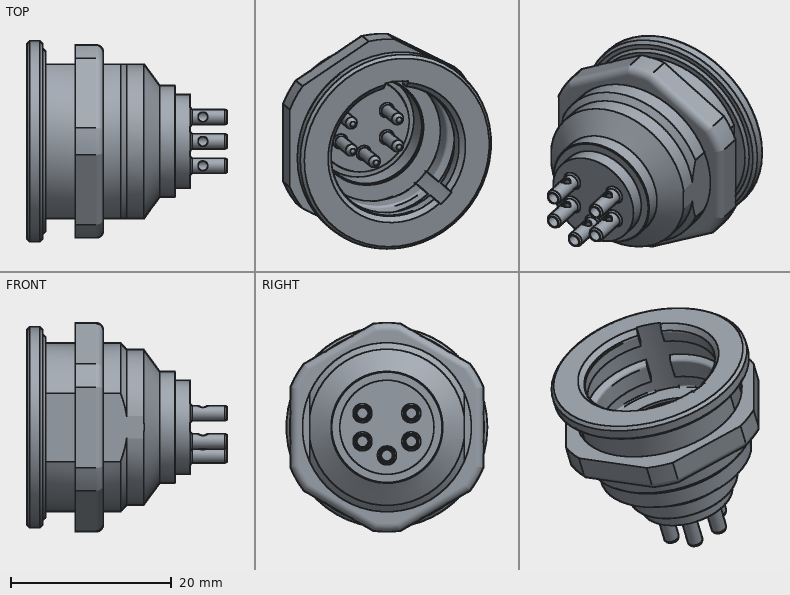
import cadquery as cq
import math


flange_dia = 25.0
flange_back = 2.0
flange_chamfer = 0.4
seal_dia = 23.1
seal_back = 2.37
seal_chamfer = 0.37

thread_dia = 21.0
thread_end = 11.65
shoulder_dia = 19.4
shoulder_start = 12.4
shoulder_end = 14.5
collar_dia = 13.9
collar_start = 16.5
collar_end = 18.45
collar_chamfer = 0.1
insert_dia = 11.7
insert_end = 20.3
across_body_flats = 19.2

nut_start = 6.0
nut_end = 9.53
nut_across_flats = 24.0
nut_corner_dia = 26.0
nut_fillet = 1.0

mouth_dia = 18.0
lip_edge_dia = 16.75
lip_dia = 16.6
lip_edge_depth = 0.66
lip_start = 0.9
lip_end = 2.25
groove_dia = 18.4
groove_end = 5.0
guide_cone_angle = 70.0
guide_round = 0.4
guide_end = 7.8
socket_depth = 10.0
socket_fillet = 0.2

recess_dia = 13.7
recess_step_depth = 10.4
recess_inner_dia = 13.45
recess_floor = 13.5
insert_face_dia = 11.9
insert_face = 13.0

main_key_width = 3.0
main_key_angle = 90.0
side_key_width = 2.0
side_key_angle = 225.0

contact_circle_radius = 3.5
contact_angles = (30, 150, 210, 270, 330)
pin_dia = 1.49
pin_base_dia = 1.9
pin_tip = 8.0
pin_nose_dia = 0.7
pin_taper_length = 0.6
pin_nose_height = 0.15
cup_dia = 1.9
cup_end = 24.9
cup_end_taper_length = 0.3
cup_end_taper_height = 0.15
cup_flare = 0.23
cup_bore_dia = 1.4
cup_bore_start = 21.0
vent_dia = 1.2
vent_x = 21.87


def revolve_about_x(profile):
    """Revolve a closed profile drawn in (X, radius) about the X axis."""
    return profile.close().revolve(360, (0, 0, 0), (1, 0, 0))


def cylinder_along_x(diameter, start, end):
    return cq.Workplane("YZ", origin=(start, 0, 0)).circle(diameter / 2).extrude(end - start)


def make_shell():
    flange_r = flange_dia / 2
    seal_r = seal_dia / 2
    collar_r = collar_dia / 2
    shell = revolve_about_x(
        cq.Workplane("XY")
        .moveTo(seal_back, 0)
        .lineTo(collar_end, 0)
        .lineTo(collar_end, collar_r - collar_chamfer)
        .lineTo(collar_end - collar_chamfer, collar_r)
        .lineTo(collar_start, collar_r)
        .lineTo(shoulder_end, shoulder_dia / 2)
        .lineTo(shoulder_start, shoulder_dia / 2)
        .lineTo(thread_end, thread_dia / 2)
        .lineTo(seal_back, thread_dia / 2)
    )
    flats = cq.Workplane("XY").box(2 * insert_end, across_body_flats, thread_dia)
    flange = revolve_about_x(
        cq.Workplane("XY")
        .lineTo(0, flange_r - flange_chamfer)
        .lineTo(flange_chamfer, flange_r)
        .lineTo(flange_back - flange_chamfer, flange_r)
        .lineTo(flange_back, flange_r - flange_chamfer)
        .lineTo(flange_back, seal_r)
        .lineTo(seal_back, seal_r - seal_chamfer)
        .lineTo(seal_back, 0)
    )
    insert = cylinder_along_x(insert_dia, collar_start, insert_end)
    return shell.intersect(flats).union(flange).union(insert)


def make_nut():
    corner_to_corner = nut_across_flats / math.cos(math.radians(30))
    hexagon = (
        cq.Workplane("YZ", origin=(nut_start, 0, 0))
        .transformed(rotate=(0, 0, 30))
        .polygon(6, corner_to_corner)
        .extrude(nut_end - nut_start)
    )
    turned = cylinder_along_x(nut_corner_dia, nut_start, nut_end)
    nut = hexagon.intersect(turned).faces(">X").edges().fillet(nut_fillet)
    return nut.cut(cylinder_along_x(thread_dia, nut_start, nut_end))


def make_socket():
    guide_r = lip_dia / 2
    groove_r = groove_dia / 2
    cone_angle = math.radians(guide_cone_angle)
    guide_corner_x = groove_end + (groove_r - guide_r) / math.tan(cone_angle)
    guide_tangent = guide_round * math.tan(cone_angle / 2)
    round_start = (
        guide_corner_x - guide_tangent * math.cos(cone_angle),
        guide_r + guide_tangent * math.sin(cone_angle),
    )
    round_end = (guide_corner_x + guide_tangent, guide_r)
    corner_offset = socket_fillet * (1 - math.sqrt(0.5))
    return revolve_about_x(
        cq.Workplane("XY")
        .lineTo(0, mouth_dia / 2)
        .lineTo(lip_edge_depth, lip_edge_dia / 2)
        .lineTo(lip_start, guide_r)
        .lineTo(lip_end, guide_r)
        .lineTo(lip_end, groove_r)
        .lineTo(groove_end, groove_r)
        .lineTo(*round_start)
        .radiusArc(round_end, -guide_round)
        .lineTo(guide_end, guide_r)
        .lineTo(guide_end, groove_r)
        .lineTo(socket_depth - socket_fillet, groove_r)
        .threePointArc(
            (socket_depth - corner_offset, groove_r - corner_offset),
            (socket_depth, groove_r - socket_fillet),
        )
        .lineTo(socket_depth, recess_dia / 2)
        .lineTo(recess_step_depth, recess_dia / 2)
        .lineTo(recess_step_depth, recess_inner_dia / 2)
        .lineTo(recess_floor, recess_inner_dia / 2)
        .lineTo(recess_floor, insert_face_dia / 2)
        .lineTo(insert_face, insert_face_dia / 2)
        .lineTo(insert_face, 0)
    )


def make_keyway(width, angle):
    slot = (
        cq.Workplane("XY")
        .box(socket_depth, groove_dia, width, centered=(False, False, True))
        .rotate((0, 0, 0), (1, 0, 0), angle)
    )
    return slot.intersect(cylinder_along_x(groove_dia, 0, socket_depth))


def make_contact():
    pin_r = pin_dia / 2
    nose_r = pin_nose_dia / 2
    cup_r = cup_dia / 2
    base_flare = (pin_base_dia - pin_dia) / 2
    contact = revolve_about_x(
        cq.Workplane("XY")
        .moveTo(pin_tip, 0)
        .lineTo(pin_tip + pin_nose_height, nose_r)
        .lineTo(pin_tip + pin_nose_height + pin_taper_length, pin_r)
        .lineTo(insert_face - base_flare, pin_r)
        .lineTo(insert_face, pin_base_dia / 2)
        .lineTo(insert_end, cup_r + cup_flare)
        .lineTo(insert_end + cup_flare, cup_r)
        .lineTo(cup_end - cup_end_taper_length, cup_r)
        .lineTo(cup_end, cup_r - cup_end_taper_height)
        .lineTo(cup_end, 0)
    )
    cup_bore = cylinder_along_x(cup_bore_dia, cup_bore_start, cup_end)
    vent = cq.Workplane("XY").center(vent_x, 0).circle(vent_dia / 2).extrude(cup_dia)
    return contact, cup_bore.union(vent)


def add_contacts(body):
    contact, hollow = make_contact()
    for angle in contact_angles:
        y = contact_circle_radius * math.cos(math.radians(angle))
        z = contact_circle_radius * math.sin(math.radians(angle))
        position = (0, y, z)
        body = body.union(contact.translate(position)).cut(hollow.translate(position))
    return body


body = make_shell().union(make_nut()).cut(make_socket())
body = body.cut(make_keyway(main_key_width, main_key_angle))
body = body.cut(make_keyway(side_key_width, side_key_angle))
result = add_contacts(body)